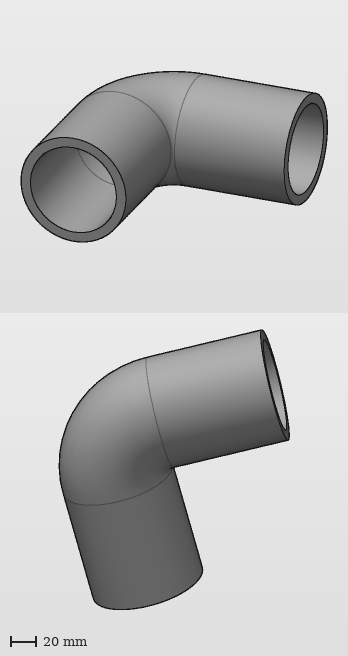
import cadquery as cq
import math

overall_length = 186.0
outer_diameter = 90.0
bore_diameter = 73.7
leg_length = 94.0

bend_radius = overall_length - leg_length - outer_diameter / 2

leg_end = bend_radius + leg_length
bend_middle = bend_radius * (1 - math.sqrt(0.5))
centreline = (
    cq.Workplane("XY")
    .moveTo(0, -leg_end)
    .lineTo(0, -bend_radius)
    .threePointArc((bend_middle, -bend_middle), (bend_radius, 0))
    .lineTo(leg_end, 0)
)

result = (
    cq.Workplane("XZ", origin=(0, -leg_end, 0))
    .circle(outer_diameter / 2)
    .circle(bore_diameter / 2)
    .sweep(centreline)
)